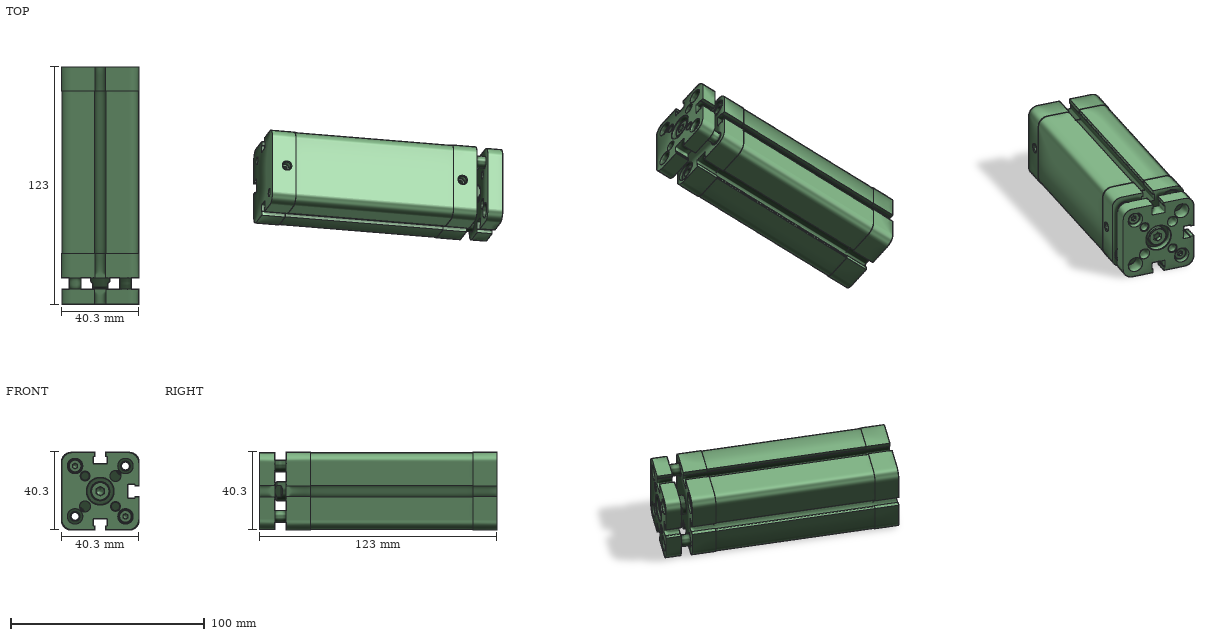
import cadquery as cq
import math


LENGTH = 123.0
CAP_WIDTH = 40.3
BODY_WIDTH = 39.9
CAP_LENGTH = 12.5
PLATE_LENGTH = 8.0
PLATE_GAP = 5.8
CAP_CORNER_RADIUS = 5.2
BODY_CORNER_RADIUS = 4.9
PLATE_CORNER_RADIUS = 5.3

PLATE_FRONT = -LENGTH / 2
PLATE_BACK = PLATE_FRONT + PLATE_LENGTH
FRONT_CAP_FACE = PLATE_BACK + PLATE_GAP
BODY_FRONT = FRONT_CAP_FACE + CAP_LENGTH
REAR_FACE = LENGTH / 2
BODY_REAR = REAR_FACE - CAP_LENGTH

CAP_SLOT_MOUTH = 5.5
BODY_SLOT_MOUTH = 6.0
SLOT_INNER_WIDTH = 7.1
SLOT_SHOULDER = 18.0
CAP_SLOT_FLOOR = 14.4
BODY_SLOT_FLOOR = 14.0
SLOT_FLOOR_RADIUS = 0.4
SLOT_ANGLES = (0, 90, 180)

ROD_OFFSET = 13.0
GUIDE_ROD_DIAMETER = 6.2
PISTON_ROD_DIAMETER = 10.0
PISTON_ROD_CHAMFER = 0.7
PISTON_ROD_CHAMFER_GAP = 0.2
WRENCH_WIDTH = 8.0
WRENCH_FLAT_START = 2.7
GUIDE_RODS = ((-ROD_OFFSET, ROD_OFFSET), (ROD_OFFSET, -ROD_OFFSET))
CAP_SCREWS = ((ROD_OFFSET, ROD_OFFSET), (-ROD_OFFSET, -ROD_OFFSET))

BOLT_CHAMFER = 0.5
PLATE_BORE = 8.0
GUIDE_BOLT_HEAD = 7.0
GUIDE_BOLT_RECESS = 2.0
GUIDE_BORE_DEPTH = 3.9
GUIDE_BOLT_SOCKET = 3.0
CENTRE_BORE = 13.9
CENTRE_BORE_CHAMFER = 0.2
CENTRE_BORE_DEPTH = 3.7
CENTRE_BOLT_HEAD = 10.0
CENTRE_BOLT_RECESS = 1.0
CENTRE_BOLT_SOCKET = 4.9
SOCKET_DEPTH_RATIO = 0.5
SOCKET_CONE_RATIO = 0.25
INNER_HOLE_OFFSET = 7.9
THREAD_MOUTH = 5.0
THREAD_BORE = 4.3
PIN_BORE = 5.7
INNER_HOLE_SIGNS = (-1, 1)

BUSHING_RIM = 7.6
BUSHING_RIM_DEPTH = 0.5
BUSHING_BORE = 7.0
BUSHING_BORE_DEPTH = 1.2
SCREW_BORE = 11.0
SCREW_HEAD = 10.0
SCREW_BORE_DEPTH = 2.0
SCREW_HEAD_RECESS = 1.0
SCREW_SOCKET = 5.0
SCREW_SOCKET_DEPTH = 3.7
SCREW_THROUGH = 4.0

PORT_SETBACK = 7.7
PORT_MOUTH = 5.0
PORT_BORE = 4.0
PORT_DEPTH = 4.3
AIR_HOLE = 2.0
AIR_HOLE_DEPTH = 7.4


def cylinder(x, z, diameter, y_start, y_end):
    """Round bar along Y between two stations."""
    return cq.Workplane(
        cq.Solid.makeCylinder(diameter / 2, y_end - y_start, cq.Vector(x, y_start, z), cq.Vector(0, 1, 0))
    )


def cone(x, z, start_diameter, end_diameter, y_start, y_end):
    """Round taper along Y between two stations."""
    return cq.Workplane(
        cq.Solid.makeCone(
            start_diameter / 2,
            end_diameter / 2,
            y_end - y_start,
            cq.Vector(x, y_start, z),
            cq.Vector(0, 1, 0),
        )
    )


def slotted_block(width, corner_radius, mouth, floor, y_start, y_end):
    """Rounded square bar with T-slots on three sides."""
    length = y_end - y_start
    middle = (y_start + y_end) / 2
    block = cq.Workplane("XY").box(width, length, width).edges("|Y").fillet(corner_radius)
    undercut_height = SLOT_SHOULDER - floor
    neck_height = width / 2 - SLOT_SHOULDER
    neck = (
        cq.Workplane("XY")
        .box(mouth, length, neck_height)
        .translate((0, 0, SLOT_SHOULDER + neck_height / 2))
    )
    undercut = (
        cq.Workplane("XY")
        .box(SLOT_INNER_WIDTH, length, undercut_height)
        .edges("|Y and <Z")
        .fillet(SLOT_FLOOR_RADIUS)
        .translate((0, 0, floor + undercut_height / 2))
    )
    slot = neck.union(undercut)
    for angle in SLOT_ANGLES:
        block = block.cut(slot.rotate((0, 0, 0), (0, 1, 0), angle))
    return block.translate((0, middle, 0))


def hex_socket(x, z, corner_diameter, y_face):
    """Hexagonal bolt socket with a drilled cone at its bottom."""
    depth = corner_diameter * SOCKET_DEPTH_RATIO
    flat_diameter = corner_diameter * math.cos(math.radians(30))
    hexagon = (
        cq.Workplane("XZ")
        .polygon(6, corner_diameter)
        .extrude(-depth)
        .rotate((0, 0, 0), (0, 1, 0), 90)
        .translate((x, y_face, z))
    )
    cone_start = y_face + depth
    cone_end = cone_start + flat_diameter * SOCKET_CONE_RATIO
    return hexagon.union(cone(x, z, flat_diameter, 0, cone_start, cone_end))


def bolt_head(x, z, diameter, y_face, y_end):
    """Round bolt head with a chamfered rim around its face."""
    chamfer_end = y_face + BOLT_CHAMFER
    head = cylinder(x, z, diameter, chamfer_end, y_end)
    return head.union(cone(x, z, diameter - 2 * BOLT_CHAMFER, diameter, y_face, chamfer_end))


def piston_rod():
    """Piston rod end with a chamfer and two wrench flats."""
    chamfer_start = PLATE_BACK + PISTON_ROD_CHAMFER_GAP
    chamfer_end = chamfer_start + PISTON_ROD_CHAMFER
    tip_diameter = PISTON_ROD_DIAMETER - 2 * PISTON_ROD_CHAMFER
    rod = cylinder(0, 0, PISTON_ROD_DIAMETER, chamfer_end, FRONT_CAP_FACE)
    rod = rod.union(cone(0, 0, tip_diameter, PISTON_ROD_DIAMETER, chamfer_start, chamfer_end))
    rod = rod.union(cylinder(0, 0, tip_diameter, PLATE_BACK, chamfer_start))

    flat = WRENCH_WIDTH / 2
    outside = PISTON_ROD_DIAMETER / 2
    flat_end = FRONT_CAP_FACE - WRENCH_FLAT_START
    runout = outside - flat
    flat_cut = (
        cq.Workplane("XY")
        .polyline(
            [(flat, PLATE_BACK), (flat, flat_end), (outside, flat_end + runout), (outside, PLATE_BACK)]
        )
        .close()
        .extrude(outside, both=True)
    )
    return rod.cut(flat_cut).cut(flat_cut.mirror("YZ"))


def tool_plate():
    """Front plate with its bolts, threaded holes and pin holes."""
    plate = slotted_block(
        BODY_WIDTH, PLATE_CORNER_RADIUS, BODY_SLOT_MOUTH, BODY_SLOT_FLOOR, PLATE_FRONT, PLATE_BACK
    )

    for x, z in GUIDE_RODS:
        head_face = PLATE_FRONT + GUIDE_BOLT_RECESS
        floor = PLATE_FRONT + GUIDE_BORE_DEPTH
        plate = plate.cut(cylinder(x, z, PLATE_BORE, PLATE_FRONT, floor))
        plate = plate.union(bolt_head(x, z, GUIDE_BOLT_HEAD, head_face, floor))
        plate = plate.cut(hex_socket(x, z, GUIDE_BOLT_SOCKET, head_face))

    for x, z in CAP_SCREWS:
        plate = plate.cut(cylinder(x, z, PLATE_BORE, PLATE_FRONT, PLATE_BACK))

    floor = PLATE_FRONT + CENTRE_BORE_DEPTH
    head_face = PLATE_FRONT + CENTRE_BOLT_RECESS
    bevel_end = PLATE_FRONT + CENTRE_BORE_CHAMFER
    rim = CENTRE_BORE + 2 * CENTRE_BORE_CHAMFER
    plate = plate.cut(cylinder(0, 0, CENTRE_BORE, PLATE_FRONT, floor))
    plate = plate.cut(cone(0, 0, rim, CENTRE_BORE, PLATE_FRONT, bevel_end))
    plate = plate.union(bolt_head(0, 0, CENTRE_BOLT_HEAD, head_face, floor))
    plate = plate.cut(hex_socket(0, 0, CENTRE_BOLT_SOCKET, head_face))

    countersink_end = PLATE_FRONT + (THREAD_MOUTH - THREAD_BORE) / 2
    for sign in INNER_HOLE_SIGNS:
        x = sign * INNER_HOLE_OFFSET
        plate = plate.cut(cylinder(x, -x, THREAD_BORE, PLATE_FRONT, PLATE_BACK))
        plate = plate.cut(cone(x, -x, THREAD_MOUTH, THREAD_BORE, PLATE_FRONT, countersink_end))
        plate = plate.cut(cylinder(x, x, PIN_BORE, PLATE_FRONT, PLATE_BACK))
    return plate


def cylinder_housing():
    """Body profile between its two slightly larger end caps."""
    front_cap = slotted_block(
        CAP_WIDTH, CAP_CORNER_RADIUS, CAP_SLOT_MOUTH, CAP_SLOT_FLOOR, FRONT_CAP_FACE, BODY_FRONT
    )
    body = slotted_block(
        BODY_WIDTH, BODY_CORNER_RADIUS, BODY_SLOT_MOUTH, BODY_SLOT_FLOOR, BODY_FRONT, BODY_REAR
    )
    rear_cap = slotted_block(
        CAP_WIDTH, CAP_CORNER_RADIUS, CAP_SLOT_MOUTH, CAP_SLOT_FLOOR, BODY_REAR, REAR_FACE
    )
    housing = front_cap.union(body).union(rear_cap)

    for x, z in GUIDE_RODS:
        rim_end = FRONT_CAP_FACE + BUSHING_RIM_DEPTH
        bore_end = FRONT_CAP_FACE + BUSHING_BORE_DEPTH
        housing = housing.cut(cylinder(x, z, BUSHING_RIM, FRONT_CAP_FACE, rim_end))
        housing = housing.cut(cylinder(x, z, BUSHING_BORE, FRONT_CAP_FACE, bore_end))

    for x, z in CAP_SCREWS:
        floor = FRONT_CAP_FACE + SCREW_BORE_DEPTH
        head_face = FRONT_CAP_FACE + SCREW_HEAD_RECESS
        socket_end = head_face + SCREW_SOCKET_DEPTH
        housing = housing.cut(cylinder(x, z, SCREW_BORE, FRONT_CAP_FACE, floor))
        housing = housing.union(bolt_head(x, z, SCREW_HEAD, head_face, floor))
        housing = housing.cut(cylinder(x, z, SCREW_SOCKET, head_face, socket_end))
        housing = housing.cut(cylinder(x, z, SCREW_THROUGH, head_face, REAR_FACE))
    return housing


def air_port(y):
    """Countersunk port with a small air hole, entering from the -X side."""
    side = -CAP_WIDTH / 2
    axis = cq.Vector(1, 0, 0)
    start = cq.Vector(side, y, 0)
    countersink = (PORT_MOUTH - PORT_BORE) / 2
    mouth = cq.Solid.makeCone(PORT_MOUTH / 2, PORT_BORE / 2, countersink, start, axis)
    bore = cq.Solid.makeCylinder(PORT_BORE / 2, PORT_DEPTH, start, axis)
    hole = cq.Solid.makeCylinder(AIR_HOLE / 2, AIR_HOLE_DEPTH, start, axis)
    return cq.Workplane(mouth).union(cq.Workplane(bore)).union(cq.Workplane(hole))


result = cylinder_housing()
for port_y in (FRONT_CAP_FACE + PORT_SETBACK, REAR_FACE - PORT_SETBACK):
    result = result.cut(air_port(port_y))
for rod_x, rod_z in GUIDE_RODS:
    rod_end = FRONT_CAP_FACE + BUSHING_BORE_DEPTH
    result = result.union(cylinder(rod_x, rod_z, GUIDE_ROD_DIAMETER, PLATE_BACK, rod_end))
result = result.union(piston_rod()).union(tool_plate())